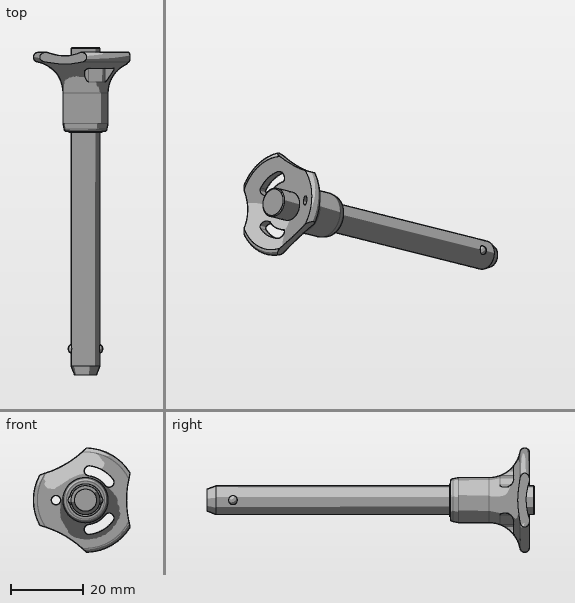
import cadquery as cq
import math


shaft_radius = 4.0
shaft_length = 66.9
tip_radius = 3.05
tip_taper_length = 2.5

ball_radius = 1.3
ball_span = 9.6
ball_to_tip = 7.2

collar_radius = 6.25
lip_radius = 4.5
lip_height = 0.3
collar_end_radius = 5.95
collar_round = 0.7
taper_start = 2.5
flare_start = 10.95

rim_radius = 14.415
rim_round = 1.36
flange_back = 22.15
dish_angle = 30.0
ear_count = 3
ear_pitch = 360.0 / ear_count
scallop_half_angle = 31.15
scallop_radius = 29.3

opening_pitch_radius = 8.15
slot_width = 2.7
slot_half_angle = 22.8
slot_angles = (60.0, -60.0)
hole_diameter = 2.5
hole_angle = 180.0

button_radius = 4.0
button_end = 23.52
button_chamfer = 0.3

cutter_length = button_end - flare_start


def polar(radius, angle):
    """Point at a radius and an angle (degrees) from +X toward +Z."""
    turn = math.radians(angle)
    return (radius * math.cos(turn), radius * math.sin(turn))


def sheet_at(y):
    """Sketch plane at a given y, with X to the right and Z up; negative extrusion runs to +Y."""
    return cq.Workplane("XZ", origin=(0, y, 0))


def revolve_about_pin(profile):
    """Full turn of a closed X, Y profile around the Y axis."""
    return profile.revolve(360, (0, 0, 0), (0, 1, 0))


def make_handle():
    """Collar, flared flange and dished back, revolved as one profile."""
    rim_center_radius = rim_radius - rim_round
    rim_center_y = flange_back - rim_round

    rise = rim_center_y - flare_start
    inset = rim_center_radius - collar_radius
    flare_radius = (inset**2 + rise**2 - rim_round**2) / (2 * (inset + rim_round))
    flare_center_radius = collar_radius + flare_radius
    lean = math.atan2(rise, flare_center_radius - rim_center_radius)
    join = (
        flare_center_radius - flare_radius * math.cos(lean),
        flare_start + flare_radius * math.sin(lean),
    )
    flare_middle = (
        flare_center_radius - flare_radius * math.cos(lean / 2),
        flare_start + flare_radius * math.sin(lean / 2),
    )
    dish_depth = rim_center_radius * math.tan(math.radians(dish_angle))

    profile = (
        cq.Workplane("XY")
        .lineTo(lip_radius, 0)
        .lineTo(lip_radius, lip_height)
        .lineTo(collar_end_radius - collar_round, lip_height)
        .radiusArc((collar_end_radius, lip_height + collar_round), -collar_round)
        .lineTo(collar_radius, taper_start)
        .lineTo(collar_radius, flare_start)
        .threePointArc(flare_middle, join)
        .threePointArc((rim_radius, rim_center_y), (rim_center_radius, flange_back))
        .lineTo(0, flange_back - dish_depth)
        .close()
    )
    return revolve_about_pin(profile)


def make_scallop(middle_angle):
    """Cutter for the hollow between two ears, bulging toward the axis."""
    chord_distance = rim_radius * math.cos(math.radians(scallop_half_angle))
    half_chord = rim_radius * math.sin(math.radians(scallop_half_angle))
    center_distance = chord_distance + math.sqrt(scallop_radius**2 - half_chord**2)
    center = polar(center_distance, middle_angle)
    return sheet_at(flare_start).moveTo(*center).circle(scallop_radius).extrude(-cutter_length)


def make_slot(middle_angle):
    """Cutter for a slot with round ends, curved around the pin axis."""
    inner = opening_pitch_radius - slot_width / 2
    outer = opening_pitch_radius + slot_width / 2
    first = middle_angle - slot_half_angle
    last = middle_angle + slot_half_angle
    end_turn = math.degrees(slot_width / 2 / opening_pitch_radius)
    outline = (
        sheet_at(flare_start)
        .moveTo(*polar(inner, first))
        .threePointArc(polar(inner, middle_angle), polar(inner, last))
        .threePointArc(polar(opening_pitch_radius, last + end_turn), polar(outer, last))
        .threePointArc(polar(outer, middle_angle), polar(outer, first))
        .threePointArc(polar(opening_pitch_radius, first - end_turn), polar(inner, first))
        .close()
    )
    return outline.extrude(-cutter_length)


def make_hole():
    """Cutter for the round lanyard hole."""
    center = polar(opening_pitch_radius, hole_angle)
    return sheet_at(flare_start).moveTo(*center).circle(hole_diameter / 2).extrude(-cutter_length)


def make_shaft():
    """Plain shaft with a tapered tip, reaching into the collar."""
    profile = (
        cq.Workplane("XY")
        .moveTo(0, -shaft_length)
        .lineTo(tip_radius, -shaft_length)
        .lineTo(shaft_radius, tip_taper_length - shaft_length)
        .lineTo(shaft_radius, lip_height)
        .lineTo(0, lip_height)
        .close()
    )
    return revolve_about_pin(profile)


def make_ball(side):
    """Locking ball standing out of the shaft on the given side (+1 or -1) along X."""
    offset = side * (ball_span / 2 - ball_radius)
    return cq.Workplane("XY", origin=(offset, ball_to_tip - shaft_length, 0)).sphere(ball_radius)


def make_button():
    """Push button rising from the dish."""
    blank = sheet_at(flare_start).circle(button_radius).extrude(-cutter_length)
    return blank.faces(">Y").chamfer(button_chamfer)


result = make_handle()
for ear in range(ear_count):
    result = result.cut(make_scallop(ear * ear_pitch))
for angle in slot_angles:
    result = result.cut(make_slot(angle))
result = result.cut(make_hole())
result = result.union(make_button()).union(make_shaft())
for side in (-1, 1):
    result = result.union(make_ball(side))